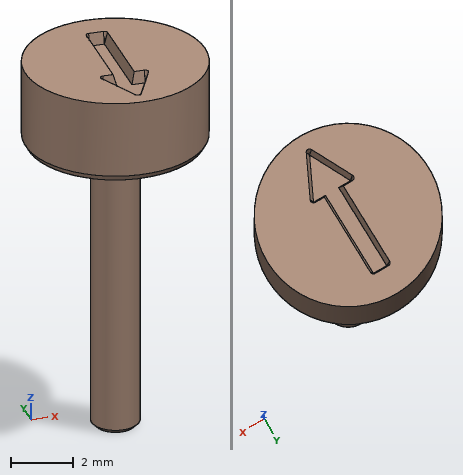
import cadquery as cq
import math

total_height = 13.0
head_diameter = 6.0
head_height = 2.8
shank_diameter = 1.6

head_chamfer_height = 0.2
head_chamfer_angle = 30.0
shank_chamfer = 0.15

arrow_depth = 0.4
arrow_draft = 15.0
arrow_tail_y = 1.98
arrow_shoulder_y = -1.0
arrow_tip_y = -2.39
arrow_shaft_half_width = 0.25
arrow_head_half_width = 0.69


def make_body():
    """Revolve the half profile of the head and shank about Z."""
    head_radius = head_diameter / 2
    shank_radius = shank_diameter / 2
    head_bottom = total_height - head_height
    head_chamfer_width = head_chamfer_height * math.tan(math.radians(head_chamfer_angle))
    return (
        cq.Workplane("XZ")
        .lineTo(shank_radius - shank_chamfer, 0)
        .lineTo(shank_radius, shank_chamfer)
        .lineTo(shank_radius, head_bottom)
        .lineTo(head_radius - head_chamfer_width, head_bottom)
        .lineTo(head_radius, head_bottom + head_chamfer_height)
        .lineTo(head_radius, total_height)
        .lineTo(0, total_height)
        .close()
        .revolve(360, (0, 0), (0, 1))
    )


def make_arrow_cutter():
    """Arrow pointing to -Y that widens upward, with conical outer corners."""
    right_side = [
        (arrow_shaft_half_width, arrow_tail_y),
        (arrow_shaft_half_width, arrow_shoulder_y),
        (arrow_head_half_width, arrow_shoulder_y),
    ]
    left_side = [(-x, y) for x, y in reversed(right_side)]
    return (
        cq.Workplane("XY", origin=(0, 0, total_height - arrow_depth))
        .polyline(right_side + [(0, arrow_tip_y)] + left_side)
        .close()
        .extrude(arrow_depth, taper=-arrow_draft)
    )


result = make_body().cut(make_arrow_cutter())